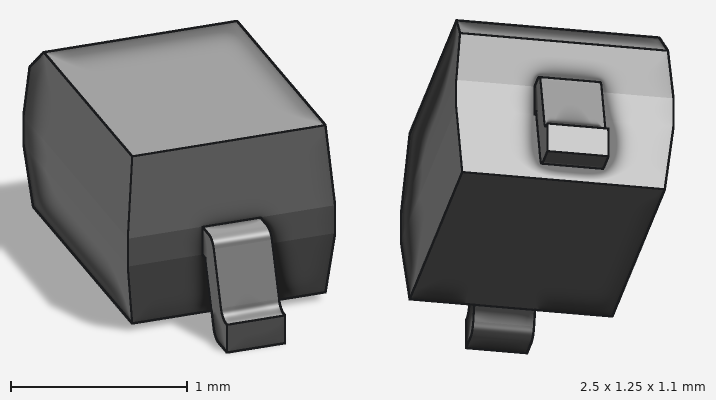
import cadquery as cq
import math

span = 2.5
total_height = 1.1

housing_length = 1.7
housing_width = 1.25
standoff = 0.05
draft_inset = 0.042
chamfer_run = 0.218
chamfer_low_run = 0.025
chamfer_height = 0.18

lead_width = 0.35
lead_thickness = 0.175
lead_top = 0.608
lead_slope = math.radians(20)
shoulder_length = 0.042
bend_radius = 0.088

band_bottom = lead_top - lead_thickness
housing_end = housing_length / 2


def frustum(start_z, end_z):
    """Drafted block from the full outline at start_z to the inset outline at end_z."""
    return (
        cq.Workplane("XY", origin=(0, 0, start_z))
        .rect(housing_length, housing_width)
        .workplane(offset=end_z - start_z)
        .rect(housing_length - 2 * draft_inset, housing_width - 2 * draft_inset)
        .loft(ruled=True, combine=True)
    )


def polarity_chamfer():
    """Wedge that bevels the top edge at the -X end, extended past the housing."""
    slope = chamfer_height / (chamfer_run - chamfer_low_run)
    drop = slope * chamfer_run
    return (
        cq.Workplane("XZ")
        .moveTo(-housing_end, total_height - drop)
        .lineTo(-housing_end, total_height)
        .lineTo(-housing_end + chamfer_run, total_height)
        .close()
        .extrude(housing_width / 2, both=True)
    )


def make_housing():
    band = (
        cq.Workplane("XY", origin=(0, 0, band_bottom))
        .rect(housing_length, housing_width)
        .extrude(lead_thickness)
    )
    upper = frustum(lead_top, total_height)
    lower = frustum(band_bottom, standoff)
    return band.union(upper).union(lower).cut(polarity_chamfer())


def make_lead(side):
    """Gull-wing lead; side is -1 for the -X end and +1 for the +X end."""
    tip = span / 2
    inner_shoulder = housing_end + shoulder_length
    inner_heel = inner_shoulder + band_bottom * math.tan(lead_slope)
    mitre = lead_thickness * math.tan((math.pi / 2 - lead_slope) / 2)
    outer_shoulder = inner_shoulder + mitre
    outer_heel = inner_heel + mitre
    profile = [
        (housing_end, lead_top),
        (outer_shoulder, lead_top),
        (outer_heel, lead_thickness),
        (tip, lead_thickness),
        (tip, 0),
        (inner_heel, 0),
        (inner_shoulder, band_bottom),
        (housing_end, band_bottom),
    ]
    lead = (
        cq.Workplane("XZ")
        .polyline([(side * x, z) for x, z in profile])
        .close()
        .extrude(lead_width / 2, both=True)
    )
    bends = [(outer_shoulder, lead_top), (outer_heel, lead_thickness), (inner_heel, 0)]
    for x, z in bends:
        bend_edge = cq.selectors.NearestToPointSelector((side * x, 0, z))
        lead = lead.edges("|Y").edges(bend_edge).fillet(bend_radius)
    return lead


housing = make_housing()
leads = [make_lead(side) for side in (-1, 1)]

result = cq.Compound.makeCompound([housing.val(), *[lead.val() for lead in leads]])